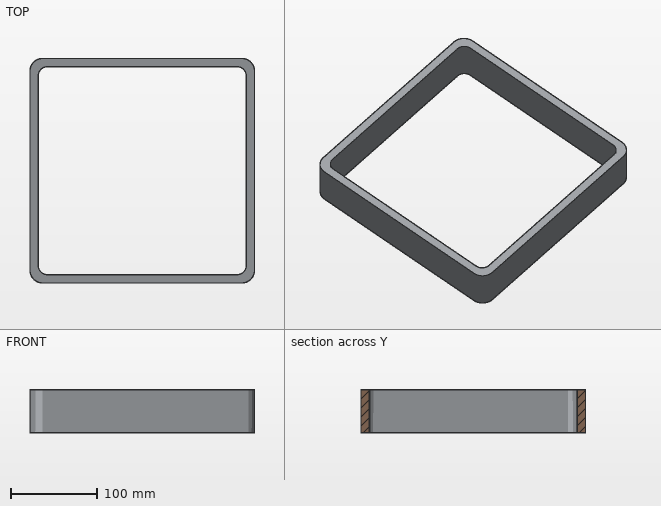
import cadquery as cq

side = 260.0
height = 50.0
wall = 10.0
outer_radius = 15.0
inner_radius = 10.5


def rounded_block(width, corner_radius):
    """Square block standing on Z = 0 with rounded vertical edges."""
    block = cq.Workplane("XY").rect(width, width).extrude(height)
    return block.edges("|Z").fillet(corner_radius)


opening = rounded_block(side - 2 * wall, inner_radius)
result = rounded_block(side, outer_radius).cut(opening)